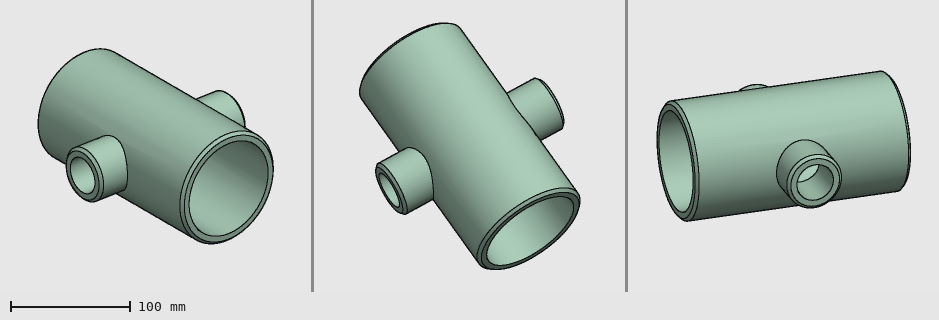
import cadquery as cq

run_length = 190.5
run_diameter = 101.5
run_bore = 85.7

branch_span = 158.5
branch_diameter = 48.4
branch_bore = 32.2

end_bevel = 2.7


def centred_cylinder(plane, diameter, length):
    """Cylinder centred on the origin, along the normal of the plane."""
    return cq.Workplane(plane).circle(diameter / 2).extrude(length / 2, both=True)


def bevelled_bar(plane, axis, diameter, length):
    """Solid bar with both end rims bevelled."""
    bar = centred_cylinder(plane, diameter, length)
    return bar.faces(f"<{axis} or >{axis}").edges().chamfer(end_bevel)


run = bevelled_bar("YZ", "X", run_diameter, run_length)
branches = bevelled_bar("XZ", "Y", branch_diameter, branch_span)
body = run.union(branches)

result = body.cut(centred_cylinder("YZ", run_bore, run_length))
result = result.cut(centred_cylinder("XZ", branch_bore, branch_span))